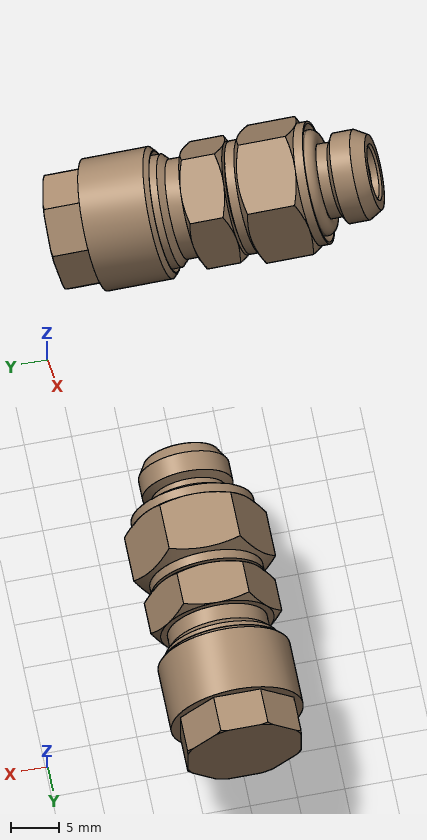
import cadquery as cq
import math


TIP_RADIUS = 4.0
NOSE_RADIUS = 4.8
NECK_RADIUS = 3.95
NOSE_REAR = 3.55
NECK_FRONT = 4.05
BORE_RADIUS = 2.75
BORE_MOUTH_RADIUS = 3.0
BORE_DEPTH = 1.0

RING_SECTION_RADIUS = 1.0
RING_CENTRE_RADIUS = 4.6
RING_CENTRE = 6.1
SEAT_MOUTH_RADIUS = 6.27

COLLAR_FRONT = 6.0
BODY_HEX_FRONT = 7.0
BODY_HEX_REAR = 13.5
HEX_SIDES = 6
BODY_HEX_FLATS = 13.0
FLANGE_RADIUS = 6.0
FLANGE_REAR = 14.5

GAP_RADIUS = 4.8
NUT_FRONT = 14.8
NUT_REAR = 19.42
NUT_FLATS = 12.0

STEM_RADIUS = 5.3
SHOULDER_RADIUS = 6.0
SHOULDER_FRONT = 21.8
SLEEVE_RADIUS = 7.0
SLEEVE_FRONT = 22.5
SLEEVE_REAR = 30.0
SLEEVE_CHAMFER = 0.5
SLEEVE_MOUTH_RADIUS = 6.4
HEAD_REAR = 34.0
HEAD_SIDES = 8
HEAD_FLATS = 12.0
HEAD_FACE_RADIUS = 6.25

BEVEL_SLOPE = math.tan(math.radians(30))
ENVELOPE_CLEARANCE = 1.0


def turned(points):
    """Solid of revolution about Y; points are (radius, station)."""
    return cq.Workplane("XY").polyline(points).close().revolve(360, (0, 0, 0), (0, 1, 0))


def cylinder(radius, front, rear):
    return turned([(0, front), (radius, front), (radius, rear), (0, rear)])


def bevelled_prism(sides, flats, front, rear, turn=0, front_radius=None, rear_radius=None):
    """Polygonal bar with its corners bevelled back from a circle on the front and/or rear face."""
    corner_radius = flats / 2 / math.cos(math.pi / sides)
    bar = (
        cq.Workplane("XZ", origin=(0, front, 0))
        .polygon(sides, 2 * corner_radius)
        .extrude(front - rear)
        .rotate((0, 0, 0), (0, 1, 0), turn)
    )
    outer_radius = corner_radius + ENVELOPE_CLEARANCE
    envelope = [(0, front)]
    if front_radius is not None:
        envelope.append((front_radius, front))
        envelope.append((outer_radius, front + (outer_radius - front_radius) * BEVEL_SLOPE))
    else:
        envelope.append((outer_radius, front))

    if rear_radius is not None:
        envelope.append((outer_radius, rear - (outer_radius - rear_radius) * BEVEL_SLOPE))
        envelope.append((rear_radius, rear))
    else:
        envelope.append((outer_radius, rear))
    envelope.append((0, rear))
    return bar.intersect(turned(envelope))


def nose():
    tip_length = (NOSE_RADIUS - TIP_RADIUS) / BEVEL_SLOPE
    blank = turned([
        (0, 0),
        (TIP_RADIUS, 0),
        (NOSE_RADIUS, tip_length),
        (NOSE_RADIUS, NOSE_REAR),
        (NECK_RADIUS, NECK_FRONT),
        (NECK_RADIUS, BODY_HEX_FRONT),
        (0, BODY_HEX_FRONT),
    ])
    bore = turned([
        (0, 0),
        (BORE_MOUTH_RADIUS, 0),
        (BORE_RADIUS, BORE_MOUTH_RADIUS - BORE_RADIUS),
        (BORE_RADIUS, BORE_DEPTH),
        (0, BORE_DEPTH),
    ])
    return blank.cut(bore)


def sealing_ring():
    return (
        cq.Workplane("XY")
        .center(RING_CENTRE_RADIUS, RING_CENTRE)
        .circle(RING_SECTION_RADIUS)
        .revolve(360, (-RING_CENTRE_RADIUS, 0, 0), (-RING_CENTRE_RADIUS, 1, 0))
    )


def collar():
    seat_depth = BODY_HEX_FRONT - COLLAR_FRONT
    seat = turned([
        (0, COLLAR_FRONT),
        (SEAT_MOUTH_RADIUS, COLLAR_FRONT),
        (SEAT_MOUTH_RADIUS - seat_depth, BODY_HEX_FRONT),
        (0, BODY_HEX_FRONT),
    ])
    return cylinder(BODY_HEX_FLATS / 2, COLLAR_FRONT, BODY_HEX_FRONT).cut(seat)


def body_hexagon():
    prism = bevelled_prism(
        HEX_SIDES, BODY_HEX_FLATS, BODY_HEX_FRONT, BODY_HEX_REAR,
        front_radius=BODY_HEX_FLATS / 2, rear_radius=FLANGE_RADIUS,
    )
    return prism.union(cylinder(FLANGE_RADIUS, BODY_HEX_REAR, FLANGE_REAR))


def nut():
    gap = cylinder(GAP_RADIUS, FLANGE_REAR, NUT_FRONT)
    prism = bevelled_prism(
        HEX_SIDES, NUT_FLATS, NUT_FRONT, NUT_REAR,
        front_radius=NUT_FLATS / 2, rear_radius=NUT_FLATS / 2,
    )
    return gap.union(prism)


def stem_and_sleeve():
    mouth_depth = SLEEVE_MOUTH_RADIUS - SHOULDER_RADIUS
    shoulder_rise = SHOULDER_RADIUS - STEM_RADIUS
    return turned([
        (0, NUT_REAR),
        (STEM_RADIUS, NUT_REAR),
        (STEM_RADIUS, SHOULDER_FRONT - shoulder_rise),
        (SHOULDER_RADIUS, SHOULDER_FRONT),
        (SHOULDER_RADIUS, SLEEVE_FRONT + mouth_depth),
        (SLEEVE_MOUTH_RADIUS, SLEEVE_FRONT),
        (SLEEVE_RADIUS - SLEEVE_CHAMFER, SLEEVE_FRONT),
        (SLEEVE_RADIUS, SLEEVE_FRONT + SLEEVE_CHAMFER),
        (SLEEVE_RADIUS, SLEEVE_REAR),
        (0, SLEEVE_REAR),
    ])


def head():
    half_corner_angle = 180 / HEAD_SIDES
    return bevelled_prism(
        HEAD_SIDES, HEAD_FLATS, SLEEVE_REAR, HEAD_REAR, turn=half_corner_angle,
        rear_radius=HEAD_FACE_RADIUS,
    )


result = nose()
for section in (collar(), sealing_ring(), body_hexagon(), nut(), stem_and_sleeve(), head()):
    result = result.union(section)